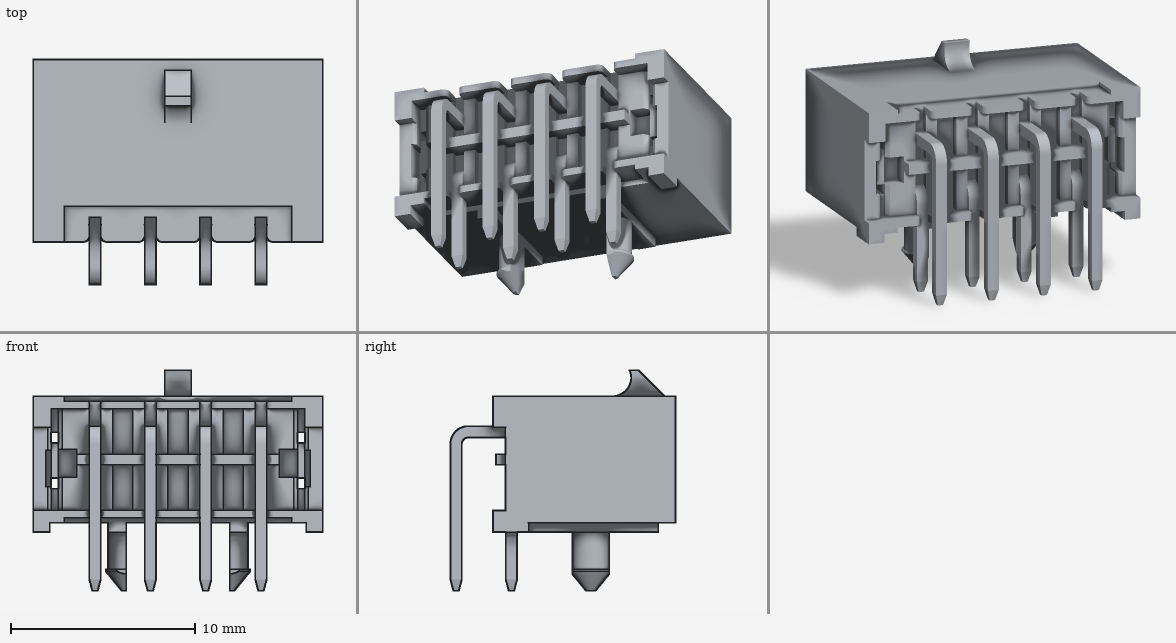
import cadquery as cq
import math


DIAGONAL = math.sqrt(0.5)

width = 15.7
depth = 9.9
height = 6.86
wall = 0.68
mid_height = height / 2
side_wall_top = 5.18

opening_half_width = 6.88
core_half_width = 6.48
core_front = 0.94
core_chamfer = 0.22
side_wall_chamfer = 0.17
slot_back = 1.35

pitch = 3.0
columns = 4
pin_size = 0.63
bend_radius = 0.97
pin_front = -2.31
pin_bottom = -3.69
tip_length = 0.61
tip_size = 0.3
pin_embed = 0.47
column_xs = [(i - (columns - 1) / 2) * pitch for i in range(columns)]

recess_half_width = 6.15
recess_depth = 0.28
recess_length = 1.93
slot_mouth_radius = 0.33

groove_width = 1.1
groove_depth = 0.52
rib_half_width = 5.48
rib_front = 0.15
rib_height = 0.58

pocket_back = 1.96
pocket_bottom = 2.46
pocket_top = 3.99
notch_half_width = 7.17
notch_bottom = 1.96
notch_top = 3.94
window_height = 0.57
window_bottoms = (1.85, 4.33)

foot_height = 0.5
foot_width = 0.91
foot_length = recess_length
base_back = 8.96
peg_flat_x = 2.8
peg_radius = 1.0
peg_y = 5.3
barb_radius = 1.13
barb_tip_radius = 0.25
barb_top = -2.53
barb_rim_height = 0.1

latch_width = 1.45
latch_height = 1.41
latch_back = 9.31
latch_front = 6.48
latch_arc_radius = 1.0


def block(x0, x1, y0, y1, z0, z1):
    """Box between two opposite corners."""
    return cq.Workplane("XY").box(x1 - x0, y1 - y0, z1 - z0, centered=False).translate((x0, y0, z0))


def on_both_sides(right_half):
    """The given shape together with its mirror image across X = 0."""
    return right_half.union(right_half.mirror("YZ"))


def housing_shell():
    """Outer block with the front opening, cut back side walls and shallow face recesses."""
    shell = block(-width / 2, width / 2, 0, depth, 0, height)
    opening = block(-opening_half_width, opening_half_width, 0, slot_back, wall, height - wall)
    side_setback = block(-width / 2, width / 2, 0, wall, wall, side_wall_top)
    shell = shell.cut(opening).cut(side_setback)
    edge_chamfer = (
        cq.Workplane("XY", origin=(0, 0, wall))
        .moveTo(opening_half_width, wall)
        .lineTo(opening_half_width + side_wall_chamfer, wall)
        .lineTo(opening_half_width, wall + side_wall_chamfer)
        .close()
        .extrude(side_wall_top - wall)
    )
    shell = shell.cut(on_both_sides(edge_chamfer))
    for bottom in (0, height - recess_depth):
        shell = shell.cut(
            block(-recess_half_width, recess_half_width, 0, recess_length, bottom, bottom + recess_depth)
        )
    return shell


def core():
    """Block filling the opening, with chamfered front corners and grooves between the pins."""
    body = block(-core_half_width, core_half_width, core_front, pocket_back, wall, height - wall)
    return body.faces("<Y").edges("|Z").chamfer(core_chamfer)


def core_grooves():
    """Vertical grooves centred between neighbouring pin columns."""
    grooves = cq.Workplane("XY")
    for x in column_xs[:-1]:
        centre = x + pitch / 2
        grooves = grooves.union(
            block(centre - groove_width / 2, centre + groove_width / 2,
                  core_front, core_front + groove_depth, wall, height - wall)
        )
    return grooves


def pin_slots():
    """Slots for the pins through both walls and the core, flaring at the front face."""
    slots = cq.Workplane("XY")
    half = pin_size / 2
    r = slot_mouth_radius
    arc_mid = r * (1 - DIAGONAL)
    for x in column_xs:
        slot = (
            cq.Workplane("XY")
            .moveTo(x - half - r, 0)
            .threePointArc((x - half - arc_mid, arc_mid), (x - half, r))
            .lineTo(x - half, slot_back)
            .lineTo(x + half, slot_back)
            .lineTo(x + half, r)
            .threePointArc((x + half + arc_mid, arc_mid), (x + half + r, 0))
            .close()
            .extrude(height)
        )
        slots = slots.union(slot)
    return slots


def side_openings():
    """Pockets in the core ends, notches in the side walls and windows through the gaps."""
    cuts = block(rib_half_width, core_half_width, core_front, pocket_back, pocket_bottom, pocket_top)
    cuts = cuts.union(
        block(opening_half_width, notch_half_width, wall, pocket_back, notch_bottom, notch_top)
    )
    for bottom in window_bottoms:
        cuts = cuts.union(
            block(core_half_width, opening_half_width, slot_back, depth, bottom, bottom + window_height)
        )
    return on_both_sides(cuts)


def rib():
    """Horizontal rib across the middle of the core."""
    return block(-rib_half_width, rib_half_width, rib_front, pocket_back,
                 mid_height - rib_height / 2, mid_height + rib_height / 2)


def feet_and_pegs():
    """Front corner feet, peg bases and half-round barbed pegs."""
    foot = block(width / 2 - foot_width, width / 2, 0, foot_length, -foot_height, wall)
    base = block(peg_flat_x, peg_flat_x + peg_radius, foot_length, base_back, -foot_height, 0)
    shank = (
        cq.Workplane("XY", origin=(peg_flat_x, peg_y, barb_top))
        .circle(peg_radius)
        .extrude(-barb_top)
    )
    rim_bottom = barb_top - barb_rim_height
    barb = (
        cq.Workplane("XZ", origin=(peg_flat_x, peg_y, 0))
        .moveTo(0, barb_top)
        .lineTo(barb_radius, barb_top)
        .lineTo(barb_radius, rim_bottom)
        .lineTo(barb_tip_radius, pin_bottom)
        .lineTo(0, pin_bottom)
        .close()
        .revolve(360, (0, 0), (0, 1))
    )
    outer_half = block(peg_flat_x, width / 2, peg_y - peg_radius, peg_y + peg_radius, pin_bottom, 0)
    peg = shank.union(barb).intersect(outer_half)
    return on_both_sides(foot.union(base).union(peg))


def latch():
    """Ramp with a hollow front that meets the top face tangentially."""
    arc_top_y = latch_front + math.sqrt(latch_arc_radius**2 - (latch_height - latch_arc_radius) ** 2)
    arc_mid_y = latch_front + latch_arc_radius * DIAGONAL
    arc_mid_z = height + latch_arc_radius * (1 - DIAGONAL)
    return (
        cq.Workplane("YZ", origin=(-latch_width / 2, 0, 0))
        .moveTo(latch_back, height)
        .lineTo(latch_back - latch_height, height + latch_height)
        .lineTo(arc_top_y, height + latch_height)
        .threePointArc((arc_mid_y, arc_mid_z), (latch_front, height))
        .close()
        .extrude(latch_width)
    )


def pin(x, front, top):
    """Square pin running forward from the core, bent down and tapered at its tip."""
    tip_top = pin_bottom + tip_length
    back = slot_back + pin_embed
    inner_radius = bend_radius - pin_size
    bend_y = front + bend_radius
    bend_z = top - bend_radius
    bent_bar = (
        cq.Workplane("YZ", origin=(x - pin_size / 2, 0, 0))
        .moveTo(back, top)
        .lineTo(bend_y, top)
        .threePointArc((bend_y - bend_radius * DIAGONAL, bend_z + bend_radius * DIAGONAL), (front, bend_z))
        .lineTo(front, tip_top)
        .lineTo(front + pin_size, tip_top)
        .lineTo(front + pin_size, bend_z)
        .threePointArc((bend_y - inner_radius * DIAGONAL, bend_z + inner_radius * DIAGONAL),
                       (bend_y, top - pin_size))
        .lineTo(back, top - pin_size)
        .close()
        .extrude(pin_size)
    )
    tip = (
        cq.Workplane("XY", origin=(x, front + pin_size / 2, tip_top))
        .rect(pin_size, pin_size)
        .workplane(offset=-tip_length)
        .rect(tip_size, tip_size)
        .loft()
    )
    return bent_bar.union(tip)


housing = housing_shell().union(core()).cut(core_grooves()).cut(pin_slots()).cut(side_openings())
result = housing.union(rib()).union(feet_and_pegs()).union(latch())

for row in (0, 1):
    row_front = pin_front + (1 - row) * pitch
    row_top = mid_height + (row - 0.5) * pitch + pin_size / 2
    for column_x in column_xs:
        result = result.union(pin(column_x, row_front, row_top))